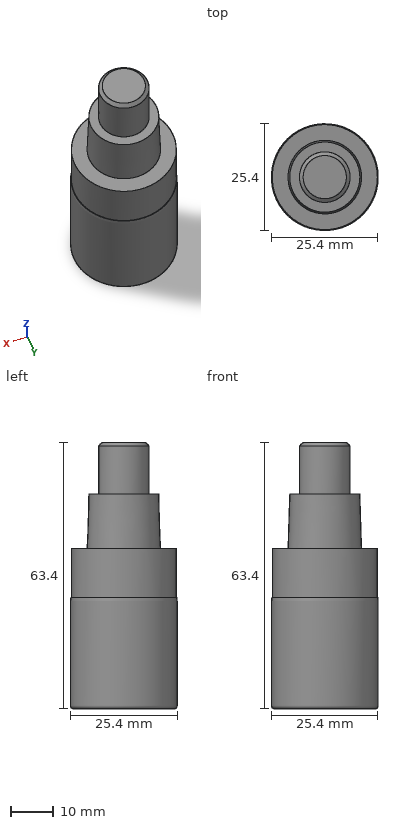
import cadquery as cq

total_height = 63.35
stud_base_z = 51.1
neck_base_z = 38.15
joint_z = 26.5

base_diameter = 25.4
base_bottom_round = 0.75
rim_bevel_height = 0.95
rim_bevel_inset = 0.095

shoulder_diameter = 24.95
neck_bottom_diameter = 17.5
neck_top_diameter = 16.65
stud_diameter = 12.05
stud_chamfer_height = 0.8
stud_chamfer_inset = 0.9


def make_base():
    """Plain cylinder with a rounded lower edge and a shallow bevel at the upper rim."""
    radius = base_diameter / 2
    profile = (
        cq.Workplane("XZ")
        .moveTo(0, 0)
        .lineTo(radius, 0)
        .lineTo(radius, joint_z - rim_bevel_height)
        .lineTo(radius - rim_bevel_inset, joint_z)
        .lineTo(0, joint_z)
        .close()
    )
    cylinder = profile.revolve(360, (0, 0, 0), (0, 1, 0))
    return cylinder.faces("<Z").edges().fillet(base_bottom_round)


def make_spindle():
    """Shoulder, tapered neck and chamfered stud, standing on the base."""
    shoulder_radius = shoulder_diameter / 2
    stud_radius = stud_diameter / 2
    profile = (
        cq.Workplane("XZ")
        .moveTo(0, joint_z)
        .lineTo(shoulder_radius, joint_z)
        .lineTo(shoulder_radius, neck_base_z)
        .lineTo(neck_bottom_diameter / 2, neck_base_z)
        .lineTo(neck_top_diameter / 2, stud_base_z)
        .lineTo(stud_radius, stud_base_z)
        .lineTo(stud_radius, total_height - stud_chamfer_height)
        .lineTo(stud_radius - stud_chamfer_inset, total_height)
        .lineTo(0, total_height)
        .close()
    )
    return profile.revolve(360, (0, 0, 0), (0, 1, 0))


base = make_base()
spindle = make_spindle()

result = cq.Compound.makeCompound([base.val(), spindle.val()])